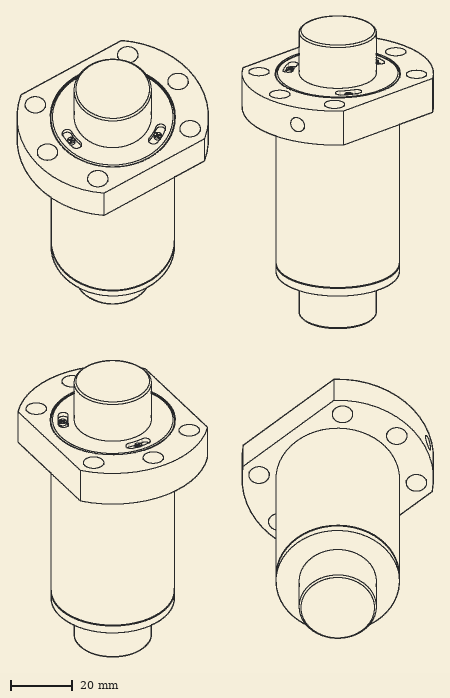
import cadquery as cq
import math

shaft_length = 100.0
shaft_overhang = 15.0
flange_thickness = 12.0
flange_top = shaft_length - shaft_overhang
flange_bottom = flange_top - flange_thickness

shaft_diameter = 25.0
shaft_chamfer = 0.6
body_diameter = 40.0

flange_diameter = 62.0
flange_width = 48.0
bolt_circle_radius = 25.5
bolt_hole_diameter = 6.6
bolt_hole_angles = [45, 90, 135, 225, 270, 315]

oil_hole_diameter = 4.9
oil_hole_angle = 112.5
oil_hole_height = flange_bottom + flange_thickness / 2

cap_height = 2.7
cap_groove_width = 0.3
cap_groove_depth = 0.1
cap_chamfer = 0.5
cap_clearance = 0.25

slot_angles = [30, 150, 270]
slot_radius = 16.2
slot_width = 3.2
slot_half_sweep = 9.6
slot_depth = 1.5
screw_diameter = 2.4
screw_height = 1.0
recess_angles = [45, 135]
recess_length = 2.0
recess_width = 0.3
recess_depth = 0.4


def cylinder(diameter, bottom, top):
    return cq.Workplane("XY").workplane(offset=bottom).circle(diameter / 2).extrude(top - bottom)


def polar_point(radius, angle):
    return (radius * math.cos(math.radians(angle)), radius * math.sin(math.radians(angle)))


def make_shaft():
    return cylinder(shaft_diameter, 0, shaft_length).faces("<Z or >Z").chamfer(shaft_chamfer)


def make_flange():
    disc = cylinder(flange_diameter, flange_bottom, flange_top)
    flats = cq.Workplane("XY").box(flange_width, flange_diameter, 2 * shaft_length)
    return disc.intersect(flats)


def make_bolt_holes():
    centers = [polar_point(bolt_circle_radius, angle) for angle in bolt_hole_angles]
    holes = cq.Workplane("XY").workplane(offset=flange_bottom).pushPoints(centers)
    return holes.circle(bolt_hole_diameter / 2).extrude(flange_thickness)


def make_oil_hole():
    """Radial bore from the rim of the flange to the cylinder of the nut body."""
    inner_radius = body_diameter / 2
    hole = (
        cq.Workplane("YZ", origin=(inner_radius, 0, oil_hole_height))
        .circle(oil_hole_diameter / 2)
        .extrude(flange_diameter / 2)
    )
    return hole.rotate((0, 0, 0), (0, 0, 1), oil_hole_angle)


def make_top_groove():
    """Gap between the flange bore and the chamfered rim of the top cap."""
    cap_radius = body_diameter / 2
    bore_radius = cap_radius + cap_clearance
    profile = [
        (cap_radius - cap_chamfer, flange_top),
        (bore_radius, flange_top),
        (bore_radius, flange_top - cap_chamfer),
        (cap_radius, flange_top - cap_chamfer),
    ]
    return cq.Workplane("XZ").polyline(profile).close().revolve(360, (0, 0, 0), (0, 1, 0))


def make_bottom_groove():
    """Narrow groove that separates the bottom cap from the nut body."""
    bottom = shaft_overhang + cap_height
    top = bottom + cap_groove_width
    core = cylinder(body_diameter - 2 * cap_groove_depth, bottom, top)
    return cylinder(body_diameter, bottom, top).cut(core)


def make_slot():
    """Curved slot with round ends, centred on the +X axis and following a circle around the shaft."""
    return (
        cq.Workplane("XY")
        .workplane(offset=flange_top - slot_depth)
        .moveTo(*polar_point(slot_radius, -slot_half_sweep))
        .threePointArc((slot_radius, 0), polar_point(slot_radius, slot_half_sweep))
        .wire()
        .offset2D(slot_width / 2)
        .extrude(slot_depth)
    )


def make_screw_head():
    """Cross-recessed screw head that stands on the floor of the slot on the +X axis."""
    bottom = flange_top - slot_depth
    top = bottom + screw_height
    head = cylinder(screw_diameter, bottom, top)
    for angle in recess_angles:
        arm = cq.Workplane("XY").workplane(offset=top - recess_depth).rect(recess_length, recess_width)
        arm = arm.extrude(recess_depth).rotate((0, 0, 0), (0, 0, 1), angle)
        head = head.cut(arm)
    return head.translate((slot_radius, 0, 0))


body = cylinder(body_diameter, shaft_overhang, flange_top)
result = make_shaft().union(body).union(make_flange())
result = result.cut(make_bolt_holes()).cut(make_oil_hole())
result = result.cut(make_top_groove()).cut(make_bottom_groove())

slot = make_slot().cut(make_screw_head())
for angle in slot_angles:
    result = result.cut(slot.rotate((0, 0, 0), (0, 0, 1), angle))